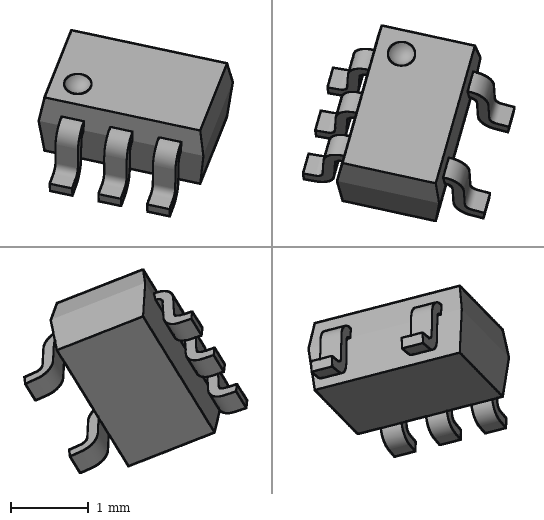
import cadquery as cq
import math

body_length = 2.2
body_width = 1.35
total_width = 2.4
total_height = 1.1
body_height = 1.0
upper_height = 0.4
taper_inset = 0.06
body_bottom = total_height - body_height
parting_z = total_height - upper_height

lead_width = 0.3
lead_pitch = 0.65
lead_thickness = 0.15
inner_radius = 0.1
outer_radius = inner_radius + lead_thickness
drop_lean = math.radians(2)
foot_slope = math.radians(5)
embed_depth = 0.12

dimple_radius = 0.175
dimple_depth = 0.1
dimple_x = -0.695
dimple_y = -0.27


def tapered_half(end_z):
    """Half of the body, narrowing from the parting plane to end_z."""
    return (
        cq.Workplane("XY", origin=(0, 0, parting_z))
        .rect(body_length, body_width)
        .workplane(offset=end_z - parting_z)
        .rect(body_length - 2 * taper_inset, body_width - 2 * taper_inset)
        .loft(ruled=True)
    )


def lead(x):
    """Lead on the +Y side, centred at x."""
    shoulder = (body_width / 2, parting_z - inner_radius)
    lean_slope = math.tan(drop_lean)
    bend_spacing = inner_radius + outer_radius
    ankle_y_without_foot = (
        shoulder[0]
        + bend_spacing / math.cos(drop_lean)
        + lean_slope * (shoulder[1] - outer_radius * math.cos(foot_slope))
    )
    toe_reach = total_width / 2 + inner_radius * math.sin(foot_slope)
    foot_length = (toe_reach - ankle_y_without_foot) / (
        math.cos(foot_slope) - lean_slope * math.sin(foot_slope)
    )
    ankle = (
        toe_reach - foot_length * math.cos(foot_slope),
        outer_radius * math.cos(foot_slope) + foot_length * math.sin(foot_slope),
    )
    shoulder_end = drop_lean
    ankle_start = math.pi + drop_lean
    ankle_end = 1.5 * math.pi - foot_slope

    def on_bend(center, radius, angle):
        return (center[0] + radius * math.cos(angle), center[1] + radius * math.sin(angle))

    def foot_tip(radius):
        y, z = on_bend(ankle, radius, ankle_end)
        return (
            y + foot_length * math.cos(foot_slope),
            z - foot_length * math.sin(foot_slope),
        )

    shoulder_mid = (math.pi / 2 + shoulder_end) / 2
    ankle_mid = (ankle_start + ankle_end) / 2
    root_y = body_width / 2 - embed_depth
    return (
        cq.Workplane("YZ", origin=(x - lead_width / 2, 0, 0))
        .moveTo(root_y, shoulder[1] + outer_radius)
        .lineTo(shoulder[0], shoulder[1] + outer_radius)
        .threePointArc(
            on_bend(shoulder, outer_radius, shoulder_mid),
            on_bend(shoulder, outer_radius, shoulder_end),
        )
        .lineTo(*on_bend(ankle, inner_radius, ankle_start))
        .threePointArc(
            on_bend(ankle, inner_radius, ankle_mid),
            on_bend(ankle, inner_radius, ankle_end),
        )
        .lineTo(*foot_tip(inner_radius))
        .lineTo(*foot_tip(outer_radius))
        .lineTo(*on_bend(ankle, outer_radius, ankle_end))
        .threePointArc(
            on_bend(ankle, outer_radius, ankle_mid),
            on_bend(ankle, outer_radius, ankle_start),
        )
        .lineTo(*on_bend(shoulder, inner_radius, shoulder_end))
        .threePointArc(
            on_bend(shoulder, inner_radius, shoulder_mid),
            on_bend(shoulder, inner_radius, math.pi / 2),
        )
        .lineTo(root_y, parting_z)
        .close()
        .extrude(lead_width)
    )


result = tapered_half(total_height).union(tapered_half(body_bottom))

for x in (-lead_pitch, lead_pitch):
    result = result.union(lead(x))
for x in (-lead_pitch, 0, lead_pitch):
    result = result.union(lead(x).mirror("XZ"))

sphere_radius = (dimple_radius**2 + dimple_depth**2) / (2 * dimple_depth)
sphere_z = total_height - dimple_depth + sphere_radius
dimple = cq.Workplane("XY").sphere(sphere_radius).translate((dimple_x, dimple_y, sphere_z))
result = result.cut(dimple)